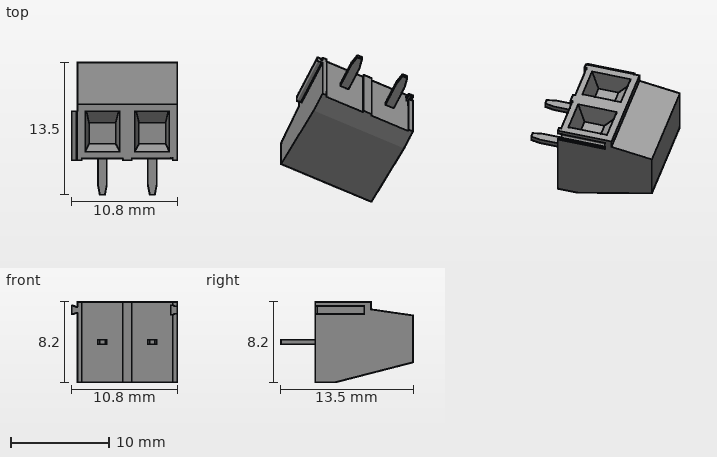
import cadquery as cq


overall_width = 10.76
overall_length = 13.5

pitch = 5.09
width = 2 * pitch
height = 8.2
depth = 10.0
side_x = width / 2
step_y = 5.71
roof_z_at_step = 7.44
roof_z_at_back = 6.82
back_bottom_z = 2.02
flat_bottom_depth = 2.13

rib_width = 0.93
panel_width = pitch - rib_width
panel_depth_top = 0.23
panel_depth_bottom = 0.16

pocket_spacing = 5.05
pocket_width = 3.52
pocket_floor_width = 2.71
pocket_front_y = 0.9
pocket_back_y = 5.0
pocket_floor_front_y = 1.7
pocket_floor_back_y = 3.82
pocket_depth = 1.86
pocket_back_wall_depth = 0.62

pin_width = 0.93
pin_tip_width = 0.54
pin_thickness = 0.5
pin_z = 4.1
pin_tip_y = depth - overall_length
pin_taper_y = -2.48
pin_root_y = 0.54

joint_length = 5.02
joint_z = height - 0.82
joint_radius = 0.11
rail_reach = overall_width - width
rail_tip_half = 0.38
rail_bulge_half = 0.46
rail_bulge_reach = 0.46
rail_neck_half = 0.31
rail_neck_reach = 0.1
rail_root_half = 0.35
groove_reach = 0.68
groove_tip_half = 0.42
groove_bulge_half = 0.5
groove_bulge_outer_reach = 0.58
groove_bulge_inner_reach = 0.45
groove_neck_half = 0.36
groove_neck_inner_reach = 0.24
groove_neck_outer_reach = 0.07
groove_mouth_half = 0.43


def extrude_across(points, x_center, length):
    """Extrude a (Y, Z) outline by length along X, centred on x_center."""
    outline = cq.Workplane("YZ", origin=(x_center, 0, 0)).polyline(points).close()
    return outline.extrude(length / 2, both=True)


def make_housing():
    return extrude_across(
        [
            (0, 0),
            (flat_bottom_depth, 0),
            (depth, back_bottom_z),
            (depth, roof_z_at_back),
            (step_y, roof_z_at_step),
            (step_y, height),
            (0, height),
        ],
        0,
        width,
    )


def make_panel_recess(x_center):
    return extrude_across(
        [(0, 0), (panel_depth_bottom, 0), (panel_depth_top, height), (0, height)],
        x_center,
        panel_width,
    )


def make_pocket(side):
    """Hopper that narrows downwards; only the top of its back wall is upright."""
    floor_z = height - pocket_depth
    opening_x = side * pocket_spacing / 2
    floor_x = side * pitch / 2
    lengthwise = extrude_across(
        [
            (pocket_front_y, height),
            (pocket_back_y, height),
            (pocket_back_y, height - pocket_back_wall_depth),
            (pocket_floor_back_y, floor_z),
            (pocket_floor_front_y, floor_z),
        ],
        opening_x,
        pitch,
    )
    crosswise = (
        cq.Workplane("XZ")
        .polyline(
            [
                (opening_x - pocket_width / 2, height),
                (opening_x + pocket_width / 2, height),
                (floor_x + pocket_floor_width / 2, floor_z),
                (floor_x - pocket_floor_width / 2, floor_z),
            ]
        )
        .close()
        .extrude(-step_y)
    )
    return lengthwise.intersect(crosswise)


def make_pin(x_center):
    half = pin_width / 2
    tip_half = pin_tip_width / 2
    return (
        cq.Workplane("XY", origin=(x_center, 0, pin_z))
        .polyline(
            [
                (-half, pin_root_y),
                (-half, pin_taper_y),
                (-tip_half, pin_tip_y),
                (tip_half, pin_tip_y),
                (half, pin_taper_y),
                (half, pin_root_y),
            ]
        )
        .close()
        .extrude(pin_thickness / 2, both=True)
    )


def make_rail():
    """Dovetail rail with a rounded tip and a flared root."""
    return (
        cq.Workplane("XZ", origin=(-side_x, 0, joint_z))
        .moveTo(0, rail_root_half)
        .radiusArc((-rail_neck_reach, rail_neck_half), joint_radius)
        .lineTo(-rail_bulge_reach, rail_bulge_half)
        .radiusArc((-rail_reach, rail_tip_half), -joint_radius)
        .lineTo(-rail_reach, -rail_tip_half)
        .radiusArc((-rail_bulge_reach, -rail_bulge_half), -joint_radius)
        .lineTo(-rail_neck_reach, -rail_neck_half)
        .radiusArc((0, -rail_root_half), joint_radius)
        .close()
        .extrude(-joint_length)
    )


def make_groove():
    """Slot that takes the rail of a neighbouring block, with a flared mouth."""
    return (
        cq.Workplane("XZ", origin=(side_x, 0, joint_z))
        .moveTo(0, groove_mouth_half)
        .radiusArc((-groove_neck_outer_reach, groove_neck_half), joint_radius)
        .lineTo(-groove_neck_inner_reach, groove_neck_half)
        .lineTo(-groove_bulge_inner_reach, groove_bulge_half)
        .lineTo(-groove_bulge_outer_reach, groove_bulge_half)
        .radiusArc((-groove_reach, groove_tip_half), -joint_radius)
        .lineTo(-groove_reach, -groove_tip_half)
        .radiusArc((-groove_bulge_outer_reach, -groove_bulge_half), -joint_radius)
        .lineTo(-groove_bulge_inner_reach, -groove_bulge_half)
        .lineTo(-groove_neck_inner_reach, -groove_neck_half)
        .lineTo(-groove_neck_outer_reach, -groove_neck_half)
        .radiusArc((0, -groove_mouth_half), joint_radius)
        .close()
        .extrude(-joint_length)
    )


result = make_housing().union(make_rail()).cut(make_groove())
for side in (-1, 1):
    pole_x = side * pitch / 2
    result = result.cut(make_panel_recess(pole_x))
    result = result.cut(make_pocket(side))
    result = result.union(make_pin(pole_x))